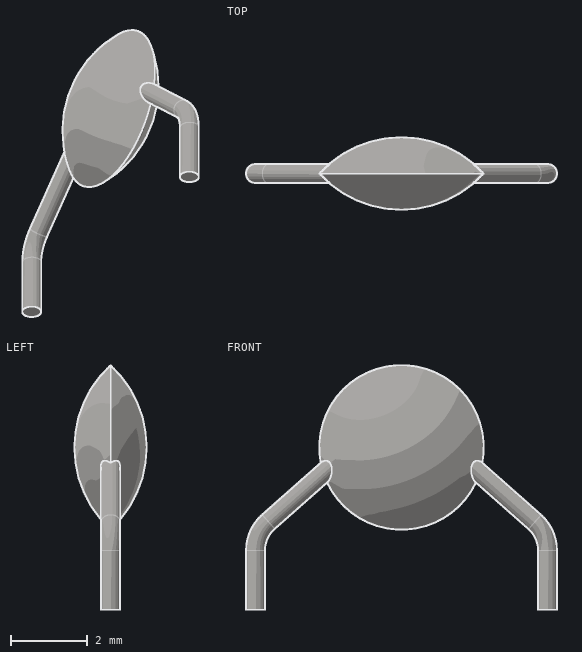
import cadquery as cq
import math

body_diameter = 4.3
body_thickness = 1.9

lead_diameter = 0.5
lead_pitch = 7.62
overall_height = 6.39
straight_length = 1.55
bend_radius = 1.0
slope_angle = 41.5
sloped_length = 3.0

body_radius = body_diameter / 2
body_half_thickness = body_thickness / 2
lead_bottom_z = body_radius - overall_height


def make_body():
    """Overlap of two spheres: two caps meeting at a sharp rim, centred on the origin."""
    cap_radius = (body_radius**2 + body_half_thickness**2) / (2 * body_half_thickness)
    cap_centre_y = cap_radius - body_half_thickness
    sphere = cq.Workplane("XY").sphere(cap_radius)
    front_cap = sphere.translate((0, cap_centre_y, 0))
    rear_cap = sphere.translate((0, -cap_centre_y, 0))
    return front_cap.intersect(rear_cap)


def make_lead():
    """Right-hand lead: up from its tip, bent inward, then sloping into the body."""
    lead_x = lead_pitch / 2
    bend_start_z = lead_bottom_z + straight_length
    bend_centre_x = lead_x - bend_radius
    slope = math.radians(slope_angle)
    bend_angle = math.pi / 2 - slope

    def bend_point(angle):
        return (
            bend_centre_x + bend_radius * math.cos(angle),
            bend_start_z + bend_radius * math.sin(angle),
        )

    bend_end_x, bend_end_z = bend_point(bend_angle)
    inner_end = (
        bend_end_x - sloped_length * math.cos(slope),
        bend_end_z + sloped_length * math.sin(slope),
    )
    centreline = (
        cq.Workplane("XZ")
        .moveTo(lead_x, lead_bottom_z)
        .lineTo(lead_x, bend_start_z)
        .threePointArc(bend_point(bend_angle / 2), (bend_end_x, bend_end_z))
        .lineTo(*inner_end)
    )
    section = cq.Workplane("XY", origin=(lead_x, 0, lead_bottom_z)).circle(lead_diameter / 2)
    return section.sweep(centreline)


right_lead = make_lead()
left_lead = right_lead.mirror("YZ")
result = make_body().union(right_lead).union(left_lead)